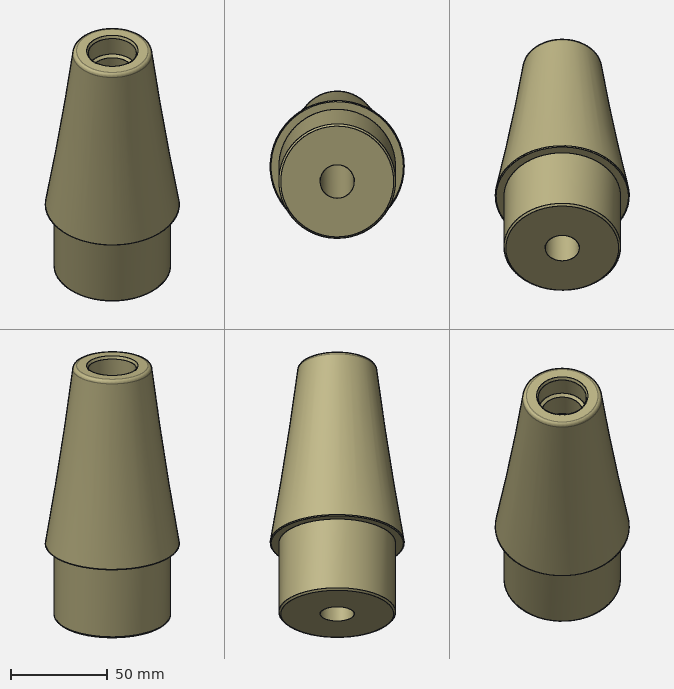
import cadquery as cq
import math

total_height = 139.85
spigot_height = 40.0

spigot_radius = 30.1
spigot_chamfer = 1.0

rim_radius = 34.6
rim_chamfer = 0.5
body_top_radius = 20.2
flank_hollow = 0.6
top_fillet = 2.0

mouth_radius = 13.25
socket_radius = 12.4
mouth_chamfer_angle = 30.0
socket_depth = 11.5
pilot_radius = 10.6
socket_floor_angle = 30.0
pilot_depth = 25.0
through_radius = 8.8
pilot_floor_angle = 20.0


def revolve_about_z(profile):
    """Turn a closed radius-height profile a full revolution about Z."""
    return profile.close().revolve(360, (0, 0, 0), (0, 1, 0))


def make_body():
    """Spigot and hollow-flanked taper as one solid, with the top edge rounded."""
    flank_bottom = spigot_height + rim_chamfer
    flank_middle = (
        (rim_radius + body_top_radius) / 2 - flank_hollow,
        (flank_bottom + total_height) / 2,
    )
    profile = (
        cq.Workplane("XZ")
        .lineTo(spigot_radius - spigot_chamfer, 0)
        .lineTo(spigot_radius, spigot_chamfer)
        .lineTo(spigot_radius, spigot_height)
        .lineTo(rim_radius - rim_chamfer, spigot_height)
        .lineTo(rim_radius, flank_bottom)
        .threePointArc(flank_middle, (body_top_radius, total_height))
        .lineTo(0, total_height)
    )
    return revolve_about_z(profile).faces(">Z").edges().fillet(top_fillet)


def make_bore():
    """Chamfered socket, pilot bore and through hole with conical steps between."""
    mouth_depth = (mouth_radius - socket_radius) / math.tan(math.radians(mouth_chamfer_angle))
    socket_floor_drop = (socket_radius - pilot_radius) * math.tan(math.radians(socket_floor_angle))
    pilot_floor_drop = (pilot_radius - through_radius) * math.tan(math.radians(pilot_floor_angle))
    socket_bottom = total_height - socket_depth
    pilot_bottom = total_height - pilot_depth
    profile = (
        cq.Workplane("XZ")
        .lineTo(through_radius, 0)
        .lineTo(through_radius, pilot_bottom - pilot_floor_drop)
        .lineTo(pilot_radius, pilot_bottom)
        .lineTo(pilot_radius, socket_bottom - socket_floor_drop)
        .lineTo(socket_radius, socket_bottom)
        .lineTo(socket_radius, total_height - mouth_depth)
        .lineTo(mouth_radius, total_height)
        .lineTo(0, total_height)
    )
    return revolve_about_z(profile)


result = make_body().cut(make_bore())